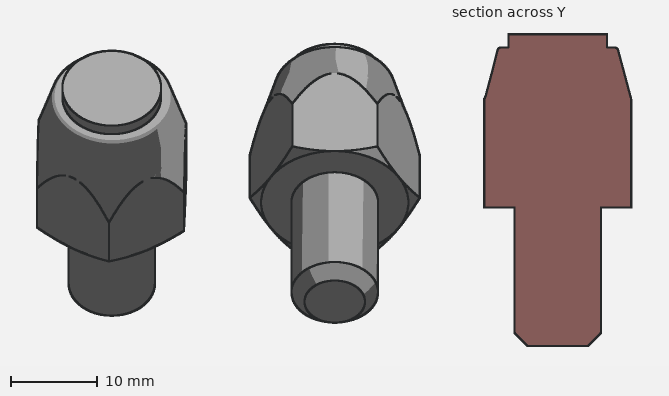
import cadquery as cq
import math

total_height = 36.0
hex_bottom = 16.0
pad_height = 1.5
body_top = total_height - pad_height
taper_start = 28.5

across_flats = 17.0
stud_diameter = 10.0
pad_diameter = 11.4

stud_chamfer = 1.5
taper_angle = 15.0
bottom_chamfer_angle = 30.0
rim_fillet = 0.5

flat_radius = across_flats / 2
corner_radius = flat_radius / math.cos(math.radians(30))
taper_slope = math.tan(math.radians(taper_angle))
body_height = body_top - hex_bottom


def make_envelope():
    """Turned profile that tapers the hexagon above and chamfers its corners below."""
    outer_radius = corner_radius + 0.35
    overhang = outer_radius - flat_radius
    chamfer_top = hex_bottom + overhang * math.tan(math.radians(bottom_chamfer_angle))
    taper_bottom = taper_start - overhang / taper_slope
    rim_radius = flat_radius - (body_top - taper_start) * taper_slope
    envelope = (
        cq.Workplane("XZ")
        .moveTo(0, hex_bottom)
        .lineTo(flat_radius, hex_bottom)
        .lineTo(outer_radius, chamfer_top)
        .lineTo(outer_radius, taper_bottom)
        .lineTo(rim_radius, body_top)
        .lineTo(0, body_top)
        .close()
        .revolve(360, (0, 0), (0, 1))
    )
    return envelope.faces(">Z").edges().fillet(rim_fillet)


def make_body():
    """Hexagon with corners on the Y axis, trimmed by the turned envelope."""
    hexagon = (
        cq.Workplane("XY")
        .workplane(offset=hex_bottom)
        .polygon(6, 2 * corner_radius)
        .extrude(body_height)
        .rotate((0, 0, 0), (0, 0, 1), 30)
    )
    return hexagon.intersect(make_envelope())


def make_stud():
    """Plain shank with a chamfered tip."""
    shank = cq.Workplane("XY").circle(stud_diameter / 2).extrude(hex_bottom)
    return shank.faces("<Z").edges().chamfer(stud_chamfer)


def make_pad():
    """Flat round pad on top of the body."""
    return cq.Workplane("XY").workplane(offset=body_top).circle(pad_diameter / 2).extrude(pad_height)


result = make_body().union(make_stud()).union(make_pad())